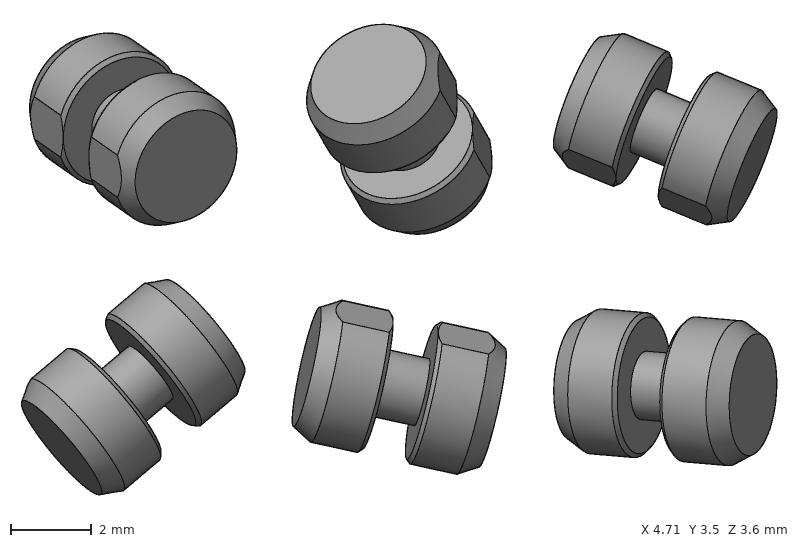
import cadquery as cq
import math

length = 4.71
head_diameter = 3.6
depth_over_flat = 3.5
neck_diameter = 1.7
neck_length = 1.14

outer_bevel_length = 0.5
outer_bevel_angle = 30.0
inner_chamfer = 0.105

head_radius = head_diameter / 2
neck_radius = neck_diameter / 2
head_length = (length - neck_length) / 2
end_radius = head_radius - outer_bevel_length * math.tan(math.radians(outer_bevel_angle))
flat_depth = head_diameter - depth_over_flat


def make_head(side):
    """Bevelled disc at the -X (side = -1) or +X (side = 1) end of the neck."""
    end_x = side * length / 2
    bevel_x = side * (length / 2 - outer_bevel_length)
    inner_x = side * neck_length / 2
    chamfer_x = side * (neck_length / 2 + inner_chamfer)
    profile = [
        (end_x, 0),
        (end_x, end_radius),
        (bevel_x, head_radius),
        (chamfer_x, head_radius),
        (inner_x, head_radius - inner_chamfer),
        (inner_x, 0),
    ]
    disc = cq.Workplane("XY").polyline(profile).close().revolve(360, (0, 0, 0), (1, 0, 0))

    flat_cutter = cq.Workplane("XY").box(head_length, flat_depth, head_diameter).translate(
        (side * (neck_length + head_length) / 2, -head_radius + flat_depth / 2, 0)
    )
    return disc.cut(flat_cutter)


neck = cq.Workplane("YZ").circle(neck_radius).extrude(neck_length / 2, both=True)

result = neck.union(make_head(-1)).union(make_head(1))